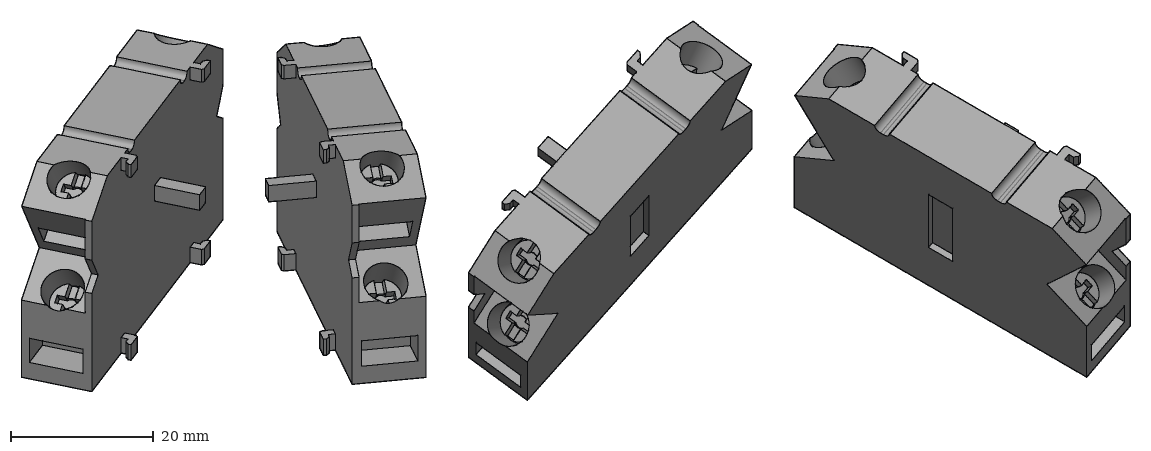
import cadquery as cq
import math

LENGTH = 50.0
HEIGHT = 32.0
THICKNESS = 10.6
SHOULDER_Y = 19.1
SLOPE = 35.0
UNDERCUT_SLOPE = 57.5

END_WALL = 1.0
TERMINAL_CORNER_Y = 18.2
TERMINAL_CORNER_Z = 17.4
WALL_CORNER_Y = 22.6
WALL_CORNER_Z = {1: 18.25, -1: 17.75}

BORE_DIAMETER = 6.25
BORE_DEPTH = 5.5
UPPER_BORE_Y = 20.35
LOWER_BORE_Y = 22.7

HEAD_DIAMETER = 5.5
HEAD_HEIGHT = 1.5
SLOT_TOP_WIDTH = 1.5
SLOT_FLOOR_WIDTH = 1.1
SLOT_DEPTH = 0.85
CROSS_LENGTH = 3.8
CROSS_WIDTH = 1.2
SOCKET_DIAMETER = 1.8
CROSS_DEPTH = 1.3

ENTRY_X = 1.2
ENTRY_WIDTH = 8.05
LOWER_ENTRY_Z = 2.7
LOWER_ENTRY_HEIGHT = 3.95
LOWER_ENTRY_DEPTH = 5.0
UPPER_ENTRY_Z = 21.1
UPPER_ENTRY_HEIGHT = 4.0
UPPER_ENTRY_DEPTH = 2.75

GROOVE_Y = 10.0
GROOVE_WIDTH = 2.5
GROOVE_DEPTH = 1.0

RECESS_WIDTH = 4.1
RECESS_BOTTOM = 9.45
RECESS_HEIGHT = 13.15
RECESS_DEPTH = 1.0

HOOK_Y = 12.45
HOOK_STEM = 1.35
HOOK_LENGTH = 2.65
HOOK_REACH = 2.0
HOOK_HEAD = 1.0
HOOK_CHAMFER = 0.55
HOOK_CORNER_CHAMFER = 0.3
TOP_HOOK_HEIGHT = 2.1
BOTTOM_HOOK_HEIGHT = 2.55

PIN_WIDTH = 2.3
PIN_HEIGHT = 2.55
PIN_BOTTOM = 17.75
PIN_LENGTH = 6.8

HALF_LENGTH = LENGTH / 2
SLOPE_TAN = math.tan(math.radians(SLOPE))
UNDERCUT_TAN = math.tan(math.radians(UNDERCUT_SLOPE))
SLOPE_SIN = math.sin(math.radians(SLOPE))
SLOPE_COS = math.cos(math.radians(SLOPE))
BORE_X = THICKNESS / 2
ENDS = (1, -1)


def box(x, y, z, dx, dy, dz):
    """Box with its lowest corner at (x, y, z)."""
    return cq.Workplane("XY").box(dx, dy, dz, centered=False).translate((x, y, z))


def block():
    """Plain housing with the two sloping shoulders."""
    shoulder_end_z = HEIGHT - (HALF_LENGTH - SHOULDER_Y) * SLOPE_TAN
    outline = [
        (-HALF_LENGTH, 0),
        (HALF_LENGTH, 0),
        (HALF_LENGTH, shoulder_end_z),
        (SHOULDER_Y, HEIGHT),
        (-SHOULDER_Y, HEIGHT),
        (-HALF_LENGTH, shoulder_end_z),
    ]
    return cq.Workplane("YZ").polyline(outline).close().extrude(THICKNESS)


def end_notch(end, corner_y, corner_z, depth_x):
    """V-shaped notch from the -X side: overhang above its corner, sloping ledge below."""
    run = HALF_LENGTH - corner_y
    outline = [
        (end * corner_y, corner_z),
        (end * HALF_LENGTH, corner_z + run * UNDERCUT_TAN),
        (end * HALF_LENGTH, corner_z - run * SLOPE_TAN),
    ]
    return cq.Workplane("YZ").polyline(outline).close().extrude(depth_x)


def bore_plane(end, y, z):
    """Plane on a slope: local x runs along X, local z points out of the slope."""
    return cq.Plane(
        origin=(BORE_X, end * y, z),
        xDir=(1, 0, 0),
        normal=(0, end * SLOPE_SIN, SLOPE_COS),
    )


def screw_head(floor):
    """Cheese head with a tapered slot, two closed cross arms and a round socket."""
    top = floor.workplane(offset=HEAD_HEIGHT)
    slot_profile = [
        (-SLOT_TOP_WIDTH / 2, HEAD_HEIGHT),
        (SLOT_TOP_WIDTH / 2, HEAD_HEIGHT),
        (SLOT_FLOOR_WIDTH / 2, HEAD_HEIGHT - SLOT_DEPTH),
        (-SLOT_FLOOR_WIDTH / 2, HEAD_HEIGHT - SLOT_DEPTH),
    ]
    slot_plane = floor.plane.rotated((90, 0, 0))
    slot = cq.Workplane(slot_plane).polyline(slot_profile).close().extrude(HEAD_DIAMETER, both=True)
    head = floor.circle(HEAD_DIAMETER / 2).extrude(HEAD_HEIGHT)
    head = head.cut(slot)
    head = head.cut(top.rect(CROSS_LENGTH, CROSS_WIDTH).extrude(-CROSS_DEPTH))
    return head.cut(top.circle(SOCKET_DIAMETER / 2).extrude(-CROSS_DEPTH))


def screw_bore(end, y, z):
    """Bore that leaves the screw head standing on its floor and is open to the outside."""
    floor = cq.Workplane(bore_plane(end, y, z)).workplane(offset=-BORE_DEPTH)
    overshoot = BORE_DIAMETER
    bore = floor.circle(BORE_DIAMETER / 2).extrude(BORE_DEPTH + overshoot)
    return bore.cut(screw_head(floor))


def upper_bore(end):
    z = HEIGHT - (UPPER_BORE_Y - SHOULDER_Y) * SLOPE_TAN
    return screw_bore(end, UPPER_BORE_Y, z)


def lower_bore(end):
    z = TERMINAL_CORNER_Z - (LOWER_BORE_Y - TERMINAL_CORNER_Y) * SLOPE_TAN
    return screw_bore(end, LOWER_BORE_Y, z)


def lower_entry(end):
    """Rectangular pocket in the vertical end face."""
    y = HALF_LENGTH - LOWER_ENTRY_DEPTH if end > 0 else -HALF_LENGTH
    return box(ENTRY_X, y, LOWER_ENTRY_Z, ENTRY_WIDTH, LOWER_ENTRY_DEPTH, LOWER_ENTRY_HEIGHT)


def upper_entry(end):
    """Rectangular pocket in the overhanging face, running up and inward along the slope."""
    y = TERMINAL_CORNER_Y + (UPPER_ENTRY_Z - TERMINAL_CORNER_Z) / UNDERCUT_TAN
    plane = cq.Plane(
        origin=(ENTRY_X + ENTRY_WIDTH / 2, end * y, UPPER_ENTRY_Z),
        xDir=(1, 0, 0),
        normal=(0, -end * SLOPE_COS, SLOPE_SIN),
    )
    pocket = cq.Workplane(plane).rect(ENTRY_WIDTH, UPPER_ENTRY_HEIGHT)
    return pocket.extrude(UPPER_ENTRY_DEPTH, both=True)


def groove(y):
    """Flat-bottomed groove along X with rounded lower corners."""
    channel = box(0, y - GROOVE_WIDTH / 2, HEIGHT - GROOVE_DEPTH, THICKNESS, GROOVE_WIDTH, 2 * GROOVE_DEPTH)
    return channel.edges("|X and <Z").fillet(GROOVE_DEPTH)


def hook(end, z, height):
    """L-shaped snap hook whose head points to the end of the housing."""
    head_x = THICKNESS + HOOK_REACH - HOOK_HEAD
    tip_x = THICKNESS + HOOK_REACH
    stem_y = HOOK_Y + HOOK_STEM
    tip_y = HOOK_Y + HOOK_LENGTH
    outline = [
        (THICKNESS, HOOK_Y),
        (tip_x - HOOK_CORNER_CHAMFER, HOOK_Y),
        (tip_x, HOOK_Y + HOOK_CORNER_CHAMFER),
        (tip_x, tip_y),
        (head_x + HOOK_CHAMFER, tip_y),
        (head_x, tip_y - HOOK_CHAMFER),
        (head_x, stem_y),
        (THICKNESS, stem_y),
    ]
    points = [(x, end * y) for x, y in outline]
    return cq.Workplane("XY").workplane(offset=z).polyline(points).close().extrude(height)


def make_housing():
    body = block()
    for end in ENDS:
        body = body.cut(end_notch(end, TERMINAL_CORNER_Y, TERMINAL_CORNER_Z, THICKNESS - END_WALL))
        body = body.cut(end_notch(end, WALL_CORNER_Y, WALL_CORNER_Z[end], THICKNESS))
        body = body.cut(upper_bore(end))
        body = body.cut(lower_bore(end))
        body = body.cut(lower_entry(end))
        body = body.cut(upper_entry(end))
        body = body.cut(groove(end * GROOVE_Y))
        body = body.union(hook(end, 0, BOTTOM_HOOK_HEIGHT))
        body = body.union(hook(end, HEIGHT - TOP_HOOK_HEIGHT, TOP_HOOK_HEIGHT))
    recess = box(0, -RECESS_WIDTH / 2, RECESS_BOTTOM, RECESS_DEPTH, RECESS_WIDTH, RECESS_HEIGHT)
    return body.cut(recess)


def make_pin():
    """Rectangular drive pin standing on the +X face."""
    return box(THICKNESS, -PIN_WIDTH / 2, PIN_BOTTOM, PIN_LENGTH, PIN_WIDTH, PIN_HEIGHT)


housing = make_housing()
pin = make_pin()

result = cq.Compound.makeCompound([housing.val(), pin.val()])